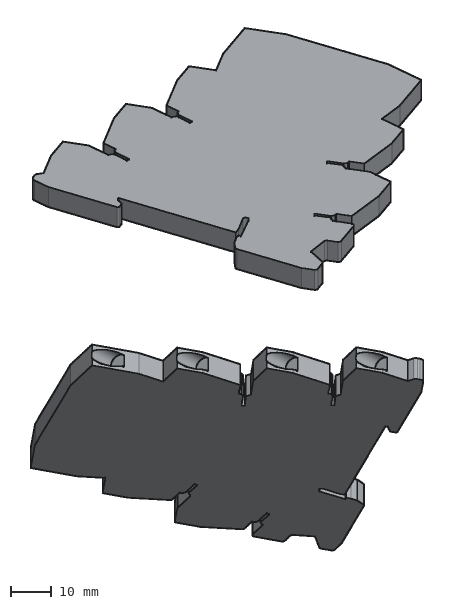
import cadquery as cq
import math

HEIGHT = 85.7
THICKNESS = 6.2
TILT_ANGLE = 12.3
SLOPE = math.tan(math.radians(TILT_ANGLE))

TOP_HALF_WIDTH = 24.3
TOP_FLAT_HALF_WIDTH = 14.05
TOP_FLANK_START = 71.4
SECOND_HALF_WIDTH = 29.6
SECOND_CORNER_Y = 63.1
TIER_STEP_OUT = 6.9
TIER_STEP_DOWN = 21.0
FLANK_DROP = 6.7

top_corner_y = HEIGHT - (TOP_HALF_WIDTH - TOP_FLAT_HALF_WIDTH) * SLOPE
third_half_width = SECOND_HALF_WIDTH + TIER_STEP_OUT
third_corner_y = SECOND_CORNER_Y - TIER_STEP_DOWN
fourth_half_width = third_half_width + TIER_STEP_OUT
fourth_corner_y = third_corner_y - TIER_STEP_DOWN

FLANK_END_DROP = 17.1
SLOT_OUTLINE = [
    (6.1, 18.0),
    (6.1, 18.7),
    (6.85, 19.4),
    (11.0, 20.3),
    (10.7, 21.1),
    (6.7, 20.05),
    (5.6, 21.0),
]
ROOF_PEAK = (-0.5, 19.6)

LEFT_FOOT_Y = 2.5
LEFT_NECK_Y = 7.2
LEFT_BEVEL_Y = 5.8
LEFT_FOOT_FLAT_X = -38.3
HOOK_TIP_X = -18.85
HOOK_TIP_Y = 4.3
HOOK_ROOT_X = -20.65
HOOK_ROOT_Y = 5.5
UNDERSIDE_Y = 6.1

SPRING_SLOT_X = 11.65
SPRING_SLOT_MOUTH_Y = 7.45
SPRING_SLOT_WIDTH = 1.5
SPRING_SLOT_SHOULDER_Y = 11.9
CATCH_X = 13.45
CATCH_Y = 5.3
CATCH_DEPTH = 0.7
RIGHT_FOOT_SIDE = [(12.8, 4.1), (13.1, 2.3), (14.6, 0.0)]
RIGHT_FOOT_FLAT_X = 32.65
RIGHT_TOE_Y = 4.45
RIGHT_NECK = (31.8, 7.2)
RIGHT_RECESS_TOP = (32.9, 13.0)

LEFT_TOE_RADIUS = 1.2
HOOK_RADIUS = 0.5
RIGHT_CORNER_RADIUS = 0.8

ENTRY_DIAMETER = 4.5
ENTRY_TILT = 26.6
ENTRY_CENTRE_DROP = 4.5
ENTRY_END_DROP = 8.4
ENTRY_FLOOR_TILT = 37.0
ENTRY_REACH = 25.7


def tier_side(half_width, corner_y):
    """Outer side of a tier with the slot below it, as (distance from axis, Y), downwards."""
    flank_in = (FLANK_END_DROP - FLANK_DROP) * SLOPE
    local = [(0, 0), (0, FLANK_DROP), (flank_in, FLANK_END_DROP)] + SLOT_OUTLINE
    return [(half_width - inward, corner_y - down) for inward, down in local]


def roof_peak(half_width, corner_y):
    """Ridge of the roof of the tier below the one given."""
    return (half_width - ROOF_PEAK[0], corner_y - ROOF_PEAK[1])


def upper_tiers():
    """Side shared by both halves, from the flat top to the last roof notch."""
    roof_y = SECOND_CORNER_Y + (SECOND_HALF_WIDTH - TOP_HALF_WIDTH) * SLOPE
    neck_in = (TOP_FLANK_START - roof_y) / (SLOPE + 1 / SLOPE)
    neck_y = TOP_FLANK_START - neck_in / SLOPE
    side = [
        (TOP_FLAT_HALF_WIDTH, HEIGHT),
        (TOP_HALF_WIDTH, top_corner_y),
        (TOP_HALF_WIDTH, TOP_FLANK_START),
        (TOP_HALF_WIDTH - neck_in, neck_y),
    ]
    side += tier_side(SECOND_HALF_WIDTH, SECOND_CORNER_Y)
    side.append(roof_peak(SECOND_HALF_WIDTH, SECOND_CORNER_Y))
    side += tier_side(third_half_width, third_corner_y)
    return side


def spring_slot_end():
    """Shoulder, tip and far shoulder of the rounded end of the spring slot."""
    near_x = SPRING_SLOT_X - (SPRING_SLOT_SHOULDER_Y - SPRING_SLOT_MOUTH_Y) * SLOPE
    near = cq.Vector(near_x, SPRING_SLOT_SHOULDER_Y)
    tilt = math.radians(TILT_ANGLE)
    across = cq.Vector(math.cos(tilt), math.sin(tilt))
    along = cq.Vector(-math.sin(tilt), math.cos(tilt))
    tip = near + (across + along) * (SPRING_SLOT_WIDTH / 2)
    far = near + across * SPRING_SLOT_WIDTH
    return [(point.x, point.y) for point in (near, tip, far)]


def round_corners(body, corners, radius):
    """Fillet the upright edges that stand on the given outline corners."""
    for x, y in corners:
        edge = cq.selectors.NearestToPointSelector((x, y, THICKNESS / 2))
        body = body.edges("|Z").edges(edge).fillet(radius)
    return body


def plate():
    """Flat body: both stepped sides, the two feet and the spring slot between them."""
    side = upper_tiers()
    left_x = -fourth_half_width
    right_x = third_half_width
    peak_x, peak_y = roof_peak(third_half_width, third_corner_y)
    notch_x, notch_y = side[-1]
    flank_y = fourth_corner_y - FLANK_DROP
    left_neck_x = left_x + (flank_y - LEFT_NECK_Y) * SLOPE
    left_toe = (left_x, LEFT_FOOT_Y + (LEFT_FOOT_FLAT_X - left_x) * SLOPE)
    left_bevel = (left_x, LEFT_BEVEL_Y)
    hook_heel = (HOOK_TIP_X, LEFT_FOOT_Y)
    slot_near, slot_tip, slot_far = spring_slot_end()

    right_heel = (right_x, (right_x - RIGHT_FOOT_FLAT_X) * SLOPE)
    right_toe = (right_x, RIGHT_TOE_Y)
    right_ledge = (right_x, RIGHT_RECESS_TOP[1] + (right_x - RIGHT_RECESS_TOP[0]) * SLOPE)
    right_roof = (right_x, notch_y + (right_x - notch_x) * SLOPE)

    mirrored_side = [(-x, y) for x, y in side]
    left_points = [
        (-peak_x, peak_y),
        (left_x, fourth_corner_y),
        (left_x, flank_y),
        (left_neck_x, LEFT_NECK_Y),
        left_bevel,
        left_toe,
        (LEFT_FOOT_FLAT_X, LEFT_FOOT_Y),
        hook_heel,
        (HOOK_TIP_X, HOOK_TIP_Y),
        (HOOK_ROOT_X, HOOK_ROOT_Y),
        (HOOK_ROOT_X, UNDERSIDE_Y),
        (SPRING_SLOT_X, UNDERSIDE_Y),
        (SPRING_SLOT_X, SPRING_SLOT_MOUTH_Y),
        slot_near,
    ]
    outline = cq.Workplane("XY").moveTo(*side[0])
    for point in mirrored_side + left_points:
        outline = outline.lineTo(*point)
    outline = outline.threePointArc(slot_tip, slot_far)
    right_points = [
        (CATCH_X, CATCH_Y),
        (CATCH_X - CATCH_DEPTH, CATCH_Y),
        *RIGHT_FOOT_SIDE,
        (RIGHT_FOOT_FLAT_X, 0),
        right_heel,
        right_toe,
        RIGHT_NECK,
        RIGHT_RECESS_TOP,
        right_ledge,
        right_roof,
    ]
    for point in right_points + side[:0:-1]:
        outline = outline.lineTo(*point)
    body = outline.close().extrude(THICKNESS)

    body = round_corners(body, [left_bevel, left_toe], LEFT_TOE_RADIUS)
    body = round_corners(body, [hook_heel], HOOK_RADIUS)
    right_corners = [RIGHT_FOOT_SIDE[-1], right_heel, right_toe, RIGHT_RECESS_TOP, right_ledge, right_roof]
    return round_corners(body, right_corners, RIGHT_CORNER_RADIUS)


def wire_entry(side_x, corner_y):
    """Cutter for one slanted hole, ended by its tilted floor."""
    tilt = math.radians(ENTRY_TILT)
    inward = (math.sin(tilt), -math.cos(tilt))
    start = cq.Vector(
        side_x - inward[0] * ENTRY_REACH / 2,
        corner_y - ENTRY_CENTRE_DROP - inward[1] * ENTRY_REACH / 2,
        THICKNESS / 2,
    )
    hole = cq.Solid.makeCylinder(ENTRY_DIAMETER / 2, ENTRY_REACH, start, cq.Vector(*inward, 0))
    below_floor = (
        cq.Workplane("XY")
        .box(2 * ENTRY_REACH, ENTRY_REACH, THICKNESS, centered=(True, False, False))
        .translate((0, -ENTRY_REACH, 0))
        .rotate((0, 0, 0), (0, 0, 1), ENTRY_FLOOR_TILT)
        .translate((side_x, corner_y - ENTRY_END_DROP, 0))
    )
    return cq.Workplane(hole).cut(below_floor)


result = plate()
for half_width, corner_y in [
    (TOP_HALF_WIDTH, top_corner_y),
    (SECOND_HALF_WIDTH, SECOND_CORNER_Y),
    (third_half_width, third_corner_y),
    (fourth_half_width, fourth_corner_y),
]:
    result = result.cut(wire_entry(-half_width, corner_y))